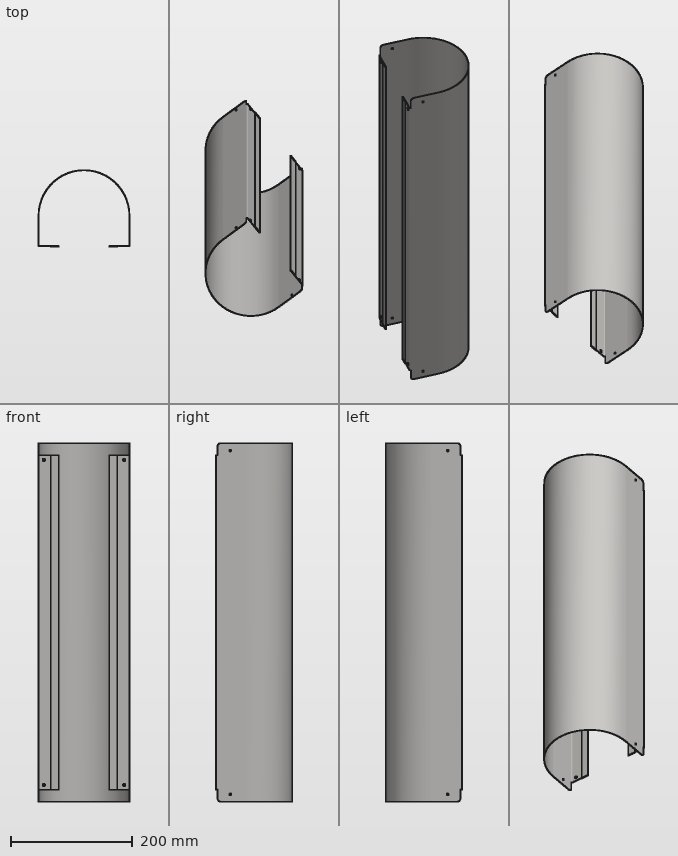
import cadquery as cq

length = 590.0
width = 150.0
depth = 126.0
sheet = 0.5

flange_inset = 20.0
flange_width = 33.5
hem_width = 13.5
hem_gap = 0.35
bend_radius = 1.5
leg_setback = 3.0
corner_radius = 6.0

flange_hole_diameter = 4.0
flange_hole_from_side = 9.0
flange_hole_from_end = 28.0
side_hole_diameter = 2.5
side_hole_from_front = 24.0
side_hole_from_end = 12.5

outer_radius = width / 2
inner_radius = outer_radius - sheet
hem_front = outer_radius - depth
hem_back = hem_front + sheet
flange_front = hem_back + hem_gap
flange_back = flange_front + sheet
bend_top = flange_front + bend_radius
leg_front = hem_front + leg_setback
flange_length = length - 2 * flange_inset


def make_arch():
    """Half-round shell with two straight legs and rounded front corners."""
    arch = (
        cq.Workplane("XY")
        .moveTo(-outer_radius, leg_front)
        .lineTo(-outer_radius, 0)
        .threePointArc((0, outer_radius), (outer_radius, 0))
        .lineTo(outer_radius, leg_front)
        .lineTo(inner_radius, leg_front)
        .lineTo(inner_radius, 0)
        .threePointArc((0, inner_radius), (-inner_radius, 0))
        .lineTo(-inner_radius, leg_front)
        .close()
        .extrude(length)
    )
    return arch.faces("<Y").edges("|X").fillet(corner_radius)


def make_left_flange():
    """Bent flange, its hem and the short leg strip that joins it to the arch."""
    tip = -outer_radius + flange_width
    fold_radius = hem_gap / 2 + sheet
    fold_start = tip - fold_radius
    fold_middle = hem_front + fold_radius
    leg_overlap = leg_front + corner_radius
    profile = (
        cq.Workplane("XY")
        .workplane(offset=flange_inset)
        .moveTo(-outer_radius, leg_overlap)
        .lineTo(-outer_radius, bend_top)
        .radiusArc((-outer_radius + bend_radius, flange_front), -bend_radius)
        .lineTo(fold_start, flange_front)
        .threePointArc((tip - sheet, fold_middle), (fold_start, hem_back))
        .lineTo(tip - hem_width, hem_back)
        .lineTo(tip - hem_width, hem_front)
        .lineTo(fold_start, hem_front)
        .threePointArc((tip, fold_middle), (fold_start, flange_back))
        .lineTo(-outer_radius + bend_radius, flange_back)
        .radiusArc((-inner_radius, bend_top), bend_radius - sheet)
        .lineTo(-inner_radius, leg_overlap)
        .close()
    )
    return profile.extrude(flange_length)


def make_flange_holes():
    """Cutters through both flanges, near their ends."""
    x = outer_radius - flange_hole_from_side
    heights = (flange_hole_from_end, length - flange_hole_from_end)
    return (
        cq.Workplane("XZ", origin=(0, leg_front, 0))
        .pushPoints([(side * x, z) for side in (-1, 1) for z in heights])
        .circle(flange_hole_diameter / 2)
        .extrude(leg_front - hem_front)
    )


def make_side_holes():
    """Cutters across both legs, near their ends."""
    y = hem_front + side_hole_from_front
    heights = (side_hole_from_end, length - side_hole_from_end)
    return (
        cq.Workplane("YZ")
        .pushPoints([(y, z) for z in heights])
        .circle(side_hole_diameter / 2)
        .extrude(outer_radius, both=True)
    )


left_flange = make_left_flange()
right_flange = left_flange.mirror("YZ")
result = make_arch().union(left_flange).union(right_flange)
result = result.cut(make_flange_holes()).cut(make_side_holes())